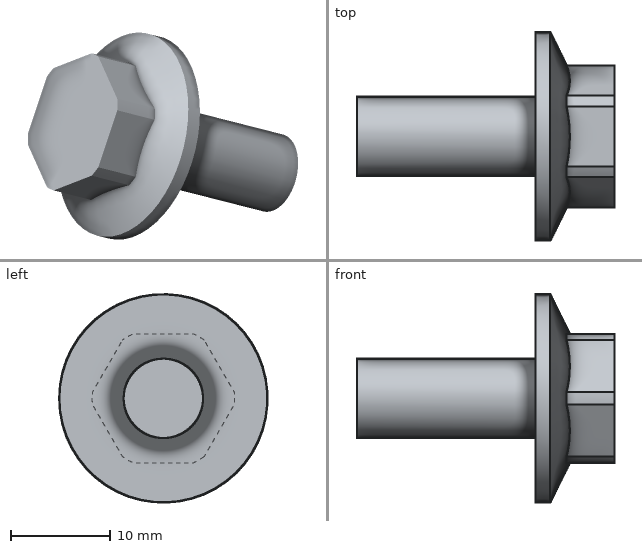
import cadquery as cq
import math

total_length = 26.0
shank_length = 18.0
shank_diameter = 8.0
flange_diameter = 21.0
rim_thickness = 1.5
cone_rise = 1.98
hex_across_flats = 13.0
hex_corner_diameter = 14.35

head_length = total_length - shank_length
flange_radius = flange_diameter / 2
hex_inradius = hex_across_flats / 2
hex_sharp_diameter = hex_across_flats / math.cos(math.pi / 6)


def make_shank():
    return cq.Workplane("YZ").circle(shank_diameter / 2).extrude(shank_length)


def make_flange():
    """Cylindrical rim with a cone narrowing towards the hex."""
    rim_end = shank_length + rim_thickness
    profile = [
        (shank_length, 0),
        (shank_length, flange_radius),
        (rim_end, flange_radius),
        (rim_end + cone_rise, hex_inradius),
        (rim_end + cone_rise, 0),
    ]
    return cq.Workplane("XY").polyline(profile).close().revolve(360, (0, 0, 0), (1, 0, 0))


def make_hex():
    """Hex with corners on the Y axis, all six trimmed by a coaxial cylinder."""
    seat = cq.Workplane("YZ", origin=(shank_length, 0, 0))
    hexagon = seat.polygon(6, hex_sharp_diameter).extrude(head_length)
    corner_trim = cq.Workplane("YZ", origin=(shank_length, 0, 0))
    corner_trim = corner_trim.circle(hex_corner_diameter / 2).extrude(head_length)
    return hexagon.intersect(corner_trim)


result = make_shank().union(make_flange()).union(make_hex())